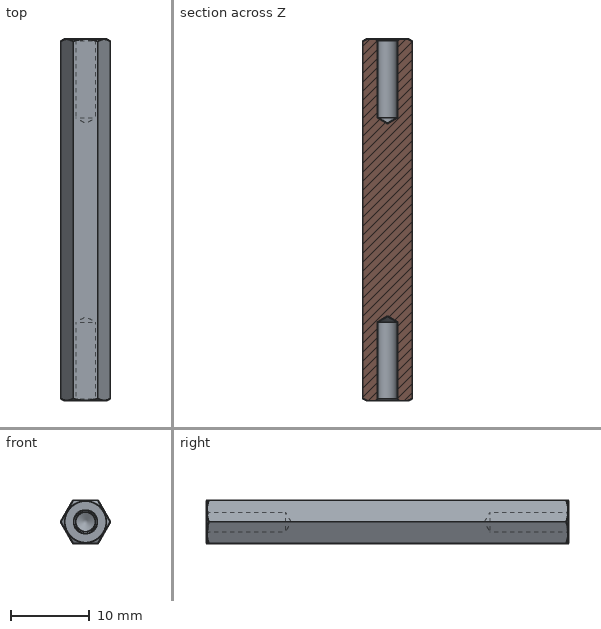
import cadquery as cq
import math

length = 46.0
across_flats = 5.5
across_corners = across_flats / math.cos(math.radians(30))

end_face_diameter = 5.275
end_chamfer_angle = 30.0
envelope_clearance = 0.5

hole_diameter = 2.5
hole_depth = 10.0
drill_tip_angle = 118.0
countersink_diameter = 3.0
countersink_depth = (countersink_diameter - hole_diameter) / 2


def revolve_about_y(points):
    """Revolve a closed profile of (radius, y) points about the Y axis."""
    return cq.Workplane("XY").polyline(points).close().revolve(360, (0, 0, 0), (0, 1, 0))


def make_hexagonal_bar():
    return cq.Workplane("XZ").polygon(6, across_corners).extrude(length / 2, both=True)


def make_chamfer_envelope():
    """Round bar with tapered ends; its overlap with the hexagon trims the corners."""
    half_length = length / 2
    face_radius = end_face_diameter / 2
    outer_radius = across_corners / 2 + envelope_clearance
    taper_length = (outer_radius - face_radius) * math.tan(math.radians(end_chamfer_angle))
    return revolve_about_y([
        (0, -half_length),
        (face_radius, -half_length),
        (outer_radius, taper_length - half_length),
        (outer_radius, half_length - taper_length),
        (face_radius, half_length),
        (0, half_length),
    ])


def make_hole_cutter():
    """Countersunk drilled hole with a conical bottom, entering from the -Y end."""
    entry = -length / 2
    hole_radius = hole_diameter / 2
    tip_length = hole_radius / math.tan(math.radians(drill_tip_angle / 2))
    return revolve_about_y([
        (0, entry),
        (countersink_diameter / 2, entry),
        (hole_radius, entry + countersink_depth),
        (hole_radius, entry + hole_depth),
        (0, entry + hole_depth + tip_length),
    ])


near_hole = make_hole_cutter()
far_hole = near_hole.mirror("XZ")

result = make_hexagonal_bar().intersect(make_chamfer_envelope()).cut(near_hole).cut(far_hole)